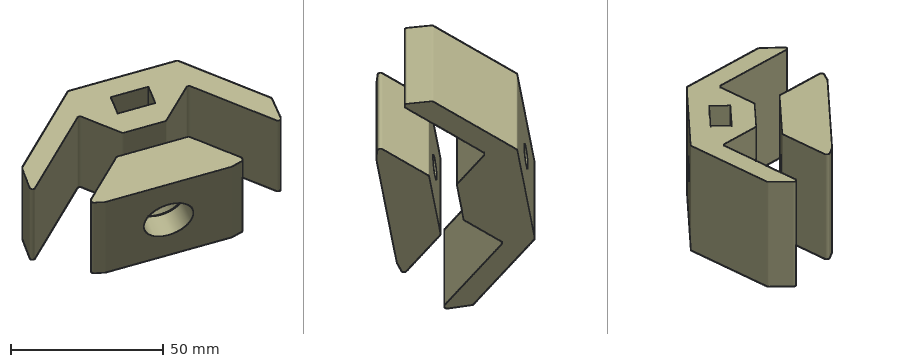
import cadquery as cq
import math

HEIGHT = 40.0
EDGE_RADIUS = 1.0
MATCH_TOLERANCE = 0.01
SQRT2 = math.sqrt(2)
DIAGONAL = cq.Vector(1, -1, 0) / SQRT2
ACROSS = cq.Vector(1, 1, 0) / SQRT2

ARM_REACH = 67.84
ARM_THICKNESS = 7.5
CORNER_BEVEL = 26.9
BOSS_REACH = 34.3
BODY_DEPTH = 21.93
ARM_TIP_ANGLE = math.radians(43.5)
ARM_SHARP_REACH = ARM_REACH - EDGE_RADIUS + EDGE_RADIUS / math.tan(ARM_TIP_ANGLE / 2)
ARM_SHOULDER = ARM_SHARP_REACH - ARM_THICKNESS / math.tan(ARM_TIP_ANGLE)

BOLT_DIAMETER = 8.25
NUT_WIDTH = 13.1
NUT_THICKNESS = 7.0
NUT_OFFSET = 10.45

WEDGE_SIDE = 26.03
WEDGE_INNER = 49.38
WEDGE_THICKNESS = 16.1
WEDGE_LIP = 30.75
TIP_ANGLE = 30.0
HEAD_DIAMETER = 17.2
HEAD_DEPTH = 8.5
SINK_DIAMETER = 16.3
SINK_ANGLE = 90.0


def mirrored(points):
    """Complete a half outline with its reflection in the diagonal plane."""
    return points + [(-y, -x) for x, y in reversed(points)]


def prism(points):
    outline = cq.Workplane("XY").polyline(points).close()
    return outline.extrude(HEIGHT / 2, both=True)


def corner_edges(body, corners):
    """Upright edges of a prism at the given outline corners."""
    places = [cq.Vector(x, y, 0) for x, y in corners]
    picked = [
        edge
        for edge in body.edges("|Z").vals()
        if any((edge.Center() - place).Length < MATCH_TOLERANCE for place in places)
    ]
    return body.newObject(picked)


def diagonal_plane(distance):
    """Plane facing the wedge, at a distance from the origin along the diagonal."""
    return cq.Plane(origin=DIAGONAL * distance, xDir=ACROSS, normal=DIAGONAL)


def make_bracket():
    bevel_face = CORNER_BEVEL / SQRT2
    boss_corner = (bevel_face + BODY_DEPTH) * SQRT2 - BOSS_REACH
    corners = mirrored([
        (CORNER_BEVEL, 0),
        (ARM_SHOULDER, 0),
        (ARM_SHARP_REACH, -ARM_THICKNESS),
        (BOSS_REACH, -ARM_THICKNESS),
        (BOSS_REACH, -boss_corner),
    ])
    body = prism(corners).edges("|Z").fillet(EDGE_RADIUS)
    bolt_hole = cq.Workplane(diagonal_plane(bevel_face)).circle(BOLT_DIAMETER / 2).extrude(BODY_DEPTH)
    slot_floor = -NUT_WIDTH / 2
    slot_plane = cq.Plane(
        origin=DIAGONAL * (bevel_face + NUT_OFFSET) + cq.Vector(0, 0, slot_floor),
        xDir=ACROSS,
        normal=(0, 0, 1),
    )
    nut_slot = cq.Workplane(slot_plane).rect(NUT_WIDTH, NUT_THICKNESS).extrude(HEIGHT / 2 - slot_floor)
    return body.cut(bolt_hole).cut(nut_slot)


def make_wedge():
    back_face = WEDGE_INNER + WEDGE_THICKNESS
    inner_corner = (WEDGE_INNER * SQRT2 - WEDGE_SIDE, -WEDGE_SIDE)
    lip_x = back_face * SQRT2 - WEDGE_LIP
    tip_x = lip_x + (WEDGE_LIP - WEDGE_SIDE) * math.tan(math.radians(TIP_ANGLE))
    tip = (tip_x, -WEDGE_SIDE)
    body = prism(mirrored([inner_corner, tip, (lip_x, -WEDGE_LIP)]))
    body = corner_edges(body, mirrored([inner_corner, tip])).fillet(EDGE_RADIUS)

    bolt_hole = cq.Workplane(diagonal_plane(WEDGE_INNER)).circle(BOLT_DIAMETER / 2).extrude(WEDGE_THICKNESS)
    head_floor = back_face - HEAD_DEPTH
    head_bore = cq.Workplane(diagonal_plane(head_floor)).circle(HEAD_DIAMETER / 2).extrude(HEAD_DEPTH)
    sink_depth = (SINK_DIAMETER - BOLT_DIAMETER) / 2 / math.tan(math.radians(SINK_ANGLE / 2))
    sink = cq.Solid.makeCone(
        SINK_DIAMETER / 2, BOLT_DIAMETER / 2, sink_depth, pnt=DIAGONAL * head_floor, dir=-DIAGONAL
    )
    return body.cut(bolt_hole).cut(head_bore).cut(cq.Workplane(sink))


bracket = make_bracket()
wedge = make_wedge()

result = cq.Compound.makeCompound([bracket.val(), wedge.val()])